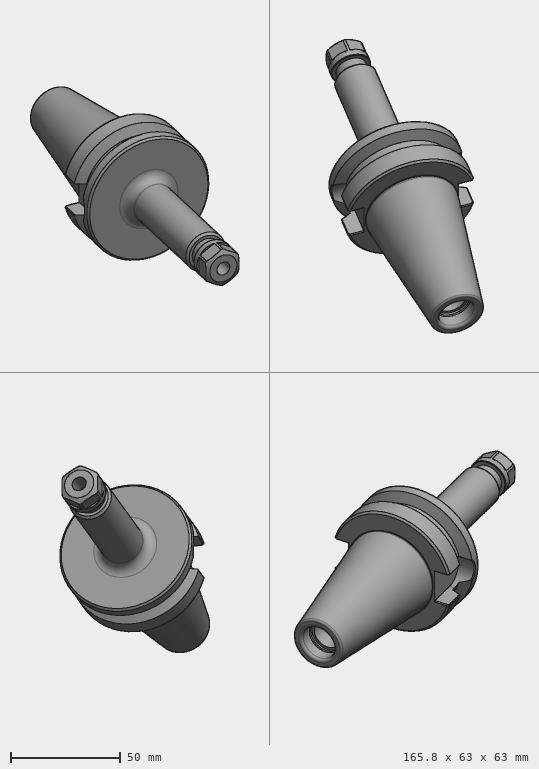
import cadquery as cq
import math


total_length = 165.8

taper_length = 65.7
gauge_diameter = 44.5
taper_rate = 7 / 24
small_diameter = gauge_diameter - taper_rate * taper_length
small_end_round = 1.0
undercut_start = 1.0
undercut_diameter = 44.0

flange_diameter = 63.0
flange_start = 1.5
flange_end = 27.0
flange_chamfer = 1.0
groove_floor_diameter = 53.0
groove_center = 16.4
groove_floor_width = 5.1
groove_mouth_width = 10.0

keyway_width = 16.2
keyway_edge_chamfer = 0.5
keyway_floor = 22.7
keyway_end = 23.2

shank_diameter = 20.0
shank_end = 83.5
shank_chamfer = 1.2
root_fillet = 5.0
neck_diameter = 14.8

mouth_diameter = 20.0
pilot_diameter = 17.0
pilot_depth = 7.0
relief_diameter = 16.4
relief_depth = 8.8
relief_chamfer = 0.7
thread_diameter = 14.0
thread_depth = 30.0
drill_point_angle = 120.0
through_diameter = 6.6

nut_diameter = 19.0
nut_start = 88.9
nut_end = total_length - taper_length
collar_width = 3.5
nut_flat_count = 6
nut_across_flats = 17.0
nut_tip_diameter = 14.0
nut_tip_chamfer = 1.3
nut_back_chamfer = 0.3


def turned(outline):
    """Revolve an outline of (X, radius) points about the X axis."""
    return outline.close().revolve(360, (0, 0, 0), (1, 0, 0))


def turned_holder():
    flange_radius = flange_diameter / 2
    shank_radius = shank_diameter / 2
    arc_offset = root_fillet * (1 - math.sqrt(0.5))
    outline = (
        cq.Workplane("XZ")
        .moveTo(-taper_length, 0)
        .lineTo(-taper_length, small_diameter / 2)
        .lineTo(0, gauge_diameter / 2)
        .lineTo(undercut_start, gauge_diameter / 2)
        .lineTo(undercut_start, undercut_diameter / 2)
        .lineTo(flange_start, undercut_diameter / 2)
        .lineTo(flange_start, flange_radius - flange_chamfer)
        .lineTo(flange_start + flange_chamfer, flange_radius)
        .lineTo(groove_center - groove_mouth_width / 2, flange_radius)
        .lineTo(groove_center - groove_floor_width / 2, groove_floor_diameter / 2)
        .lineTo(groove_center + groove_floor_width / 2, groove_floor_diameter / 2)
        .lineTo(groove_center + groove_mouth_width / 2, flange_radius)
        .lineTo(flange_end - flange_chamfer, flange_radius)
        .lineTo(flange_end, flange_radius - flange_chamfer)
        .lineTo(flange_end, shank_radius + root_fillet)
        .threePointArc(
            (flange_end + arc_offset, shank_radius + arc_offset),
            (flange_end + root_fillet, shank_radius),
        )
        .lineTo(shank_end - shank_chamfer, shank_radius)
        .lineTo(shank_end, shank_radius - shank_chamfer)
        .lineTo(shank_end, neck_diameter / 2)
        .lineTo(nut_start, neck_diameter / 2)
        .lineTo(nut_start, 0)
    )
    small_end = cq.selectors.NearestToPointSelector((-taper_length, 0, small_diameter / 2))
    return turned(outline).edges(small_end).fillet(small_end_round)


def stepped_bore():
    mouth_round = (mouth_diameter - pilot_diameter) / 2
    mouth_offset = mouth_round * (1 - math.sqrt(0.5))
    point_slope = math.tan(math.radians(drill_point_angle / 2))
    point_length = (thread_diameter - through_diameter) / 2 / point_slope
    outline = (
        cq.Workplane("XZ", origin=(-taper_length, 0, 0))
        .moveTo(0, 0)
        .lineTo(0, mouth_diameter / 2)
        .threePointArc(
            (mouth_offset, pilot_diameter / 2 + mouth_offset),
            (mouth_round, pilot_diameter / 2),
        )
        .lineTo(pilot_depth, pilot_diameter / 2)
        .lineTo(pilot_depth + relief_chamfer, relief_diameter / 2)
        .lineTo(relief_depth, relief_diameter / 2)
        .lineTo(relief_depth, thread_diameter / 2)
        .lineTo(thread_depth, thread_diameter / 2)
        .lineTo(thread_depth + point_length, through_diameter / 2)
        .lineTo(taper_length + nut_start, through_diameter / 2)
        .lineTo(taper_length + nut_start, 0)
    )
    return turned(outline)


def keyway(side):
    """Round-ended slot cut in from the -Y (side = -1) or +Y (side = 1) face."""
    radius = keyway_width / 2
    depth = flange_diameter / 2 - keyway_floor
    return (
        cq.Workplane("XZ", origin=(0, side * keyway_floor, 0))
        .moveTo(flange_start, -radius)
        .lineTo(keyway_end - radius, -radius)
        .threePointArc((keyway_end, 0), (keyway_end - radius, radius))
        .lineTo(flange_start, radius)
        .close()
        .extrude(-side * depth)
    )


def keyway_rim_edges(side):
    """Selector for the front and rim edges of one keyway: both straight walls and the round end."""
    margin = 0.2
    half_width = keyway_width / 2
    floor = side * (keyway_floor - margin)
    rim = side * (flange_diameter / 2 + margin)
    groove_wall = side * groove_floor_diameter / 2

    def edges_in(corner, opposite):
        return cq.selectors.BoxSelector(corner, opposite, boundingbox=True)

    front = flange_start - margin
    groove_edge = groove_center - groove_mouth_width / 2 + margin
    upper_wall = edges_in((front, floor, half_width - margin), (groove_edge, rim, half_width + margin))
    lower_wall = edges_in((front, floor, -half_width - margin), (groove_edge, rim, margin - half_width))
    end_start = groove_center + groove_mouth_width / 2 - margin
    round_end = edges_in((end_start, groove_wall, -half_width), (keyway_end + margin, rim, half_width))
    return upper_wall + lower_wall + round_end


def make_holder():
    holder = turned_holder().cut(stepped_bore())
    for side in (-1, 1):
        holder = holder.cut(keyway(side))
        holder = holder.edges(keyway_rim_edges(side)).chamfer(keyway_edge_chamfer)
    return holder


def make_nut():
    nut_radius = nut_diameter / 2
    outline = (
        cq.Workplane("XZ")
        .moveTo(nut_start, through_diameter / 2)
        .lineTo(nut_start, nut_radius - nut_back_chamfer)
        .lineTo(nut_start + nut_back_chamfer, nut_radius)
        .lineTo(nut_end - nut_tip_chamfer, nut_radius)
        .lineTo(nut_end, nut_tip_diameter / 2)
        .lineTo(nut_end, through_diameter / 2)
    )
    collar_end = nut_start + collar_width
    half_flat_angle = 180 / nut_flat_count
    across_corners = nut_across_flats / math.cos(math.radians(half_flat_angle))
    hexagon = cq.Workplane("YZ", origin=(collar_end, 0, 0)).polygon(nut_flat_count, across_corners)
    hexagon = hexagon.extrude(nut_end - collar_end).rotate((0, 0, 0), (1, 0, 0), half_flat_angle)
    collar = cq.Workplane("YZ", origin=(nut_start, 0, 0)).circle(nut_radius).extrude(collar_width)
    return turned(outline).intersect(collar.union(hexagon))


holder = make_holder()
nut = make_nut()

result = cq.Compound.makeCompound([holder.val(), nut.val()])